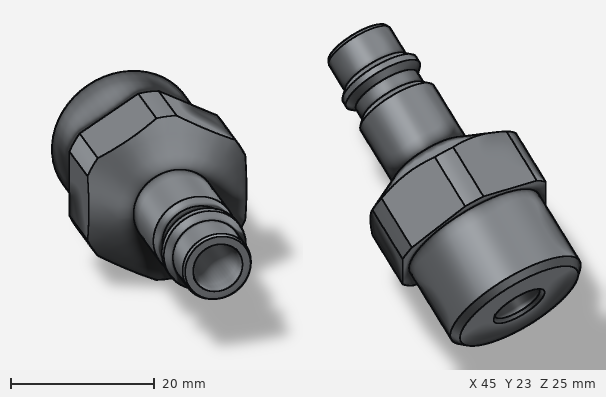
import cadquery as cq
import math

thread_radius = 10.5
thread_length = 12.5
thread_chamfer = 1.0

hex_across_flats = 23.0
hex_corner_radius = 12.5
cone_angle = 60
cone_end = 24.75

neck_radius = 6.0
plug_radius = 5.0
plug_chamfer_length = 0.5
plug_chamfer_depth = 0.22
length = 45.0
bevel = neck_radius - plug_radius
neck_end = 34.0
collar_start = 37.0
collar_land = 1.0

bore_radius = 3.6
bore_chamfer = 0.5

cone_start = cone_end - (hex_corner_radius - neck_radius) / math.tan(math.radians(cone_angle))
groove_start = neck_end + bevel
collar_land_start = collar_start + bevel
collar_land_end = collar_land_start + collar_land
collar_end = collar_land_end + bevel


def revolve_about_x(points):
    """Revolve a closed (x, radius) outline around the X axis."""
    return cq.Workplane("XY").polyline(points).close().revolve(360, (0, 0, 0), (1, 0, 0))


def make_turned_body():
    return revolve_about_x([
        (0, 0),
        (0, thread_radius - thread_chamfer),
        (thread_chamfer, thread_radius),
        (thread_length, thread_radius),
        (thread_length, hex_corner_radius),
        (cone_start, hex_corner_radius),
        (cone_end, neck_radius),
        (neck_end, neck_radius),
        (groove_start, plug_radius),
        (collar_start, plug_radius),
        (collar_land_start, neck_radius),
        (collar_land_end, neck_radius),
        (collar_end, plug_radius),
        (length - plug_chamfer_length, plug_radius),
        (length, plug_radius - plug_chamfer_depth),
        (length, 0),
    ])


def make_hex_envelope():
    """Full-length hexagonal prism with flats facing +Y and -Y."""
    across_corners = hex_across_flats / math.cos(math.radians(30))
    prism = cq.Workplane("YZ").polygon(6, across_corners).extrude(length)
    return prism.rotate((0, 0, 0), (1, 0, 0), 90)


def make_bore():
    return revolve_about_x([
        (0, 0),
        (0, bore_radius + bore_chamfer),
        (bore_chamfer, bore_radius),
        (length, bore_radius),
        (length, 0),
    ])


result = make_turned_body().intersect(make_hex_envelope()).cut(make_bore())